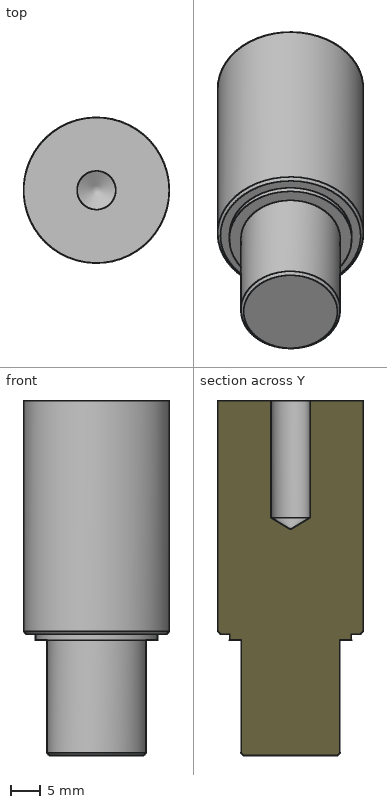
import cadquery as cq
import math

total_height = 60.8
body_height = 40.0
collar_height = 1.0
pin_height = total_height - body_height - collar_height

body_diameter = 25.0
collar_diameter = 21.0
pin_diameter = 17.0
edge_chamfer = 0.5

hole_diameter = 6.6
hole_depth = 20.0
drill_point_angle = 118.0


def make_cylinder(diameter, height, base_z):
    """Upright cylinder on the Z axis, standing at base_z."""
    return cq.Workplane("XY", origin=(0, 0, base_z)).circle(diameter / 2).extrude(height)


def make_drilled_hole():
    """Cutter for the hole: straight bore with a conical drill point."""
    radius = hole_diameter / 2
    point_height = radius / math.tan(math.radians(drill_point_angle / 2))
    bore_bottom = total_height - hole_depth
    return (
        cq.Workplane("XZ")
        .moveTo(0, total_height)
        .lineTo(radius, total_height)
        .lineTo(radius, bore_bottom)
        .lineTo(0, bore_bottom - point_height)
        .close()
        .revolve(360, (0, 0, 0), (0, 1, 0))
    )


pin = make_cylinder(pin_diameter, pin_height, 0).faces("<Z").chamfer(edge_chamfer)
collar = make_cylinder(collar_diameter, collar_height, pin_height)
body = make_cylinder(body_diameter, body_height, pin_height + collar_height)
body = body.faces("<Z").chamfer(edge_chamfer)

result = pin.union(collar).union(body).cut(make_drilled_hole())